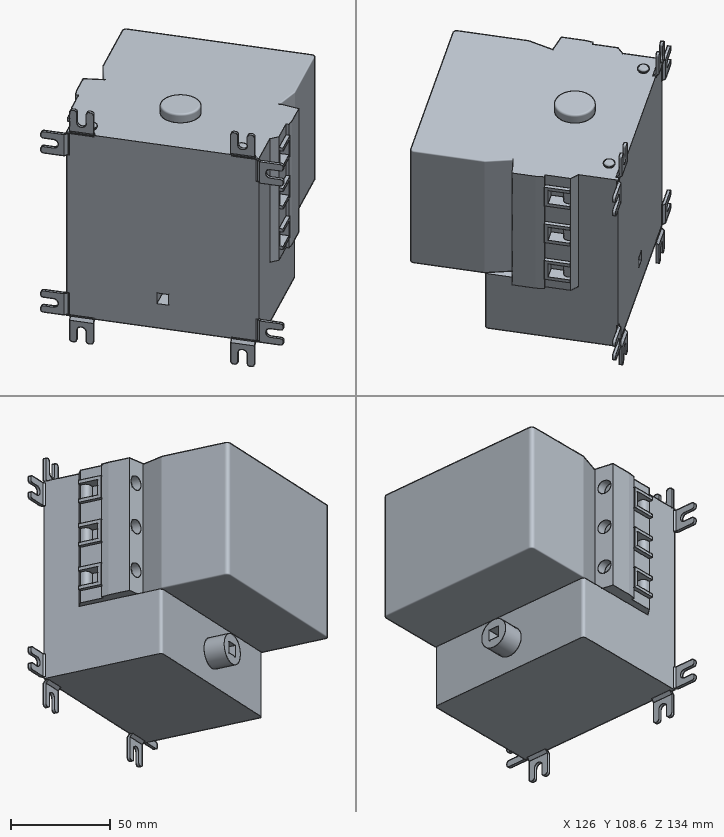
import cadquery as cq


half_width = 50.0
housing_height = 106.4
block_bottom = 34.8
block_height = housing_height - block_bottom
base_depth = 68.3
base_rear_round = 1.7

rear_depth = 107.0
waist_half_width = 45.7
waist_depth = 55.0
hood_corner_round = 2.1
hood_rim_round = 0.7

shoulder_half_width = 56.0
shoulder_rear = 53.1
shoulder_slope_start = 41.0
shoulder_slope_inset = 0.5
terminal_rear = 36.6
terminal_front = 23.5
terminal_seat = 53.9
shoulder_front = 20.2

terminal_count = 3
terminal_pitch = 23.5
terminal_top_z = 94.2
frame_height = 11.9
frame_opening_height = 8.3
frame_rear_wall = 2.0
pocket_depth = 4.8
pocket_lip_round = 2.7
pocket_lip = 1.5

access_diameter = 7.5
access_depth = 5.4
access_half_spacing = 51.0

knob_diameter = 20.5
knob_height = 4.8
knob_depth = 33.5
knob_round = 1.1
screw_half_spacing = 39.0
screw_depth = 7.1
screw_neck_diameter = 5.1
screw_head_diameter = 5.9
screw_height = 2.1
screw_neck_height = 0.8
screw_head_round = 1.1

shaft_diameter = 16.1
shaft_length = 11.7
shaft_height = 17.2
bore_side = 6.2

tab_width = 12.3
tab_thickness = 1.6
tab_length = 12.2
tab_bend = 1.6
tab_root = 0.7
tab_toe = 0.3
tab_slot_width = 5.0
tab_slot_length = 9.1
tab_tip_round = 1.5
top_tab_reach = 13.8
side_tab_reach = 13.0
tab_half_spacing = 41.8
side_tab_inset = 7.1


def box(x_range, y_range, z_range):
    """Axis-aligned box between pairs of limits."""
    size = [high - low for low, high in (x_range, y_range, z_range)]
    corner = (x_range[0], y_range[0], z_range[0])
    return cq.Workplane("XY").box(*size, centered=False).translate(corner)


def both_sides(shape):
    """The shape together with its mirror image across the YZ plane."""
    return shape.union(shape.mirror("YZ"))


def make_base():
    """Lower box of full depth with the shallow front body standing on it."""
    base = box((-half_width, half_width), (0, base_depth), (0, block_bottom))
    base = base.edges("|Z and >Y").fillet(base_rear_round)
    front = box((-half_width, half_width), (0, shoulder_front), (block_bottom, housing_height))
    return base.union(front)


def make_hood():
    """Rear cover that widens from the waist and has rounded outer edges."""
    right_outline = [
        (waist_half_width, waist_depth),
        (half_width, base_depth),
        (half_width, rear_depth),
    ]
    left_outline = [(-x, y) for x, y in reversed(right_outline)]
    hood = (
        cq.Workplane("XY", origin=(0, 0, block_bottom))
        .polyline(right_outline + left_outline)
        .close()
        .extrude(block_height)
    )
    hood = hood.edges("|Z and >Y").fillet(hood_corner_round)
    rim = hood.faces("<Z or >Z").edges("not <Y")
    return rim.fillet(hood_rim_round)


def make_shoulders():
    """Side steps that hold the terminals, with a recessed seat for the frames."""
    right_outline = [
        (half_width, shoulder_front),
        (terminal_seat, terminal_front),
        (terminal_seat, terminal_rear),
        (shoulder_half_width - shoulder_slope_inset, terminal_rear),
        (shoulder_half_width, shoulder_slope_start),
        (shoulder_half_width, shoulder_rear),
        (waist_half_width, waist_depth),
    ]
    left_outline = [(-x, y) for x, y in reversed(right_outline)]
    return (
        cq.Workplane("XY", origin=(0, 0, block_bottom))
        .polyline(right_outline + left_outline)
        .close()
        .extrude(block_height)
    )


def make_frame(center_z):
    """Raised block that carries one wire opening on the +X side."""
    z_range = (center_z - frame_height / 2, center_z + frame_height / 2)
    return box((terminal_seat, shoulder_half_width), (terminal_front, terminal_rear), z_range)


def make_pocket(center_z):
    """Wire opening: open to the front, then deeper behind a rounded lip."""
    opening_rear = terminal_rear - frame_rear_wall
    lip_end = terminal_front + pocket_lip
    return (
        cq.Workplane("XY", origin=(0, 0, center_z - frame_opening_height / 2))
        .moveTo(shoulder_half_width, terminal_front)
        .lineTo(terminal_seat, terminal_front)
        .lineTo(terminal_seat, lip_end)
        .radiusArc((terminal_seat - pocket_lip_round, lip_end + pocket_lip_round), -pocket_lip_round)
        .lineTo(terminal_seat - pocket_depth, lip_end + pocket_lip_round)
        .lineTo(terminal_seat - pocket_depth, opening_rear)
        .lineTo(shoulder_half_width, opening_rear)
        .close()
        .extrude(frame_opening_height)
    )


def make_access_hole(center_z):
    """Blind hole cutter that enters a shoulder from the rear."""
    hole = cq.Workplane("XZ", origin=(access_half_spacing, waist_depth, center_z))
    return hole.circle(access_diameter / 2).extrude(access_depth)


def make_knob():
    knob = cq.Workplane("XY", origin=(0, knob_depth, housing_height)).circle(knob_diameter / 2)
    return knob.extrude(knob_height).faces(">Z").edges().fillet(knob_round)


def make_screw(x):
    neck = cq.Workplane("XY", origin=(x, screw_depth, housing_height)).circle(screw_neck_diameter / 2)
    neck = neck.extrude(screw_neck_height)
    head = neck.faces(">Z").workplane().circle(screw_head_diameter / 2)
    head = head.extrude(screw_height - screw_neck_height, combine=False)
    return neck.union(head.faces(">Z").edges().fillet(screw_head_round))


def make_tab():
    """Slotted tab pointing to +Z, with its tip at Z = 0 and its bent root running to +Y."""
    bend_z = -tab_length
    tab = (
        cq.Workplane("YZ")
        .polyline([
            (-tab_thickness, 0),
            (0, 0),
            (0, bend_z),
            (tab_bend, bend_z - tab_bend),
            (tab_bend, bend_z - tab_bend - tab_root),
            (-tab_toe, bend_z - tab_bend - tab_root),
            (-tab_toe, bend_z - tab_bend),
            (-tab_thickness, bend_z),
        ])
        .close()
        .extrude(tab_width / 2, both=True)
    )
    slot_center = tab_slot_width / 2 - tab_slot_length
    slot = (
        cq.Workplane("XZ")
        .moveTo(-tab_slot_width / 2, 0)
        .lineTo(-tab_slot_width / 2, slot_center)
        .threePointArc((0, -tab_slot_length), (tab_slot_width / 2, slot_center))
        .lineTo(tab_slot_width / 2, 0)
        .close()
        .extrude(tab_thickness)
    )
    tab = tab.cut(slot)
    return tab.faces(">Z").edges("|Y").fillet(tab_tip_round)


result = make_base().union(make_hood()).union(make_shoulders())

for index in range(terminal_count):
    center_z = terminal_top_z - index * terminal_pitch
    result = result.union(both_sides(make_frame(center_z)))
    result = result.cut(both_sides(make_pocket(center_z)))
    result = result.cut(both_sides(make_access_hole(center_z)))

result = result.union(make_knob())
result = result.union(both_sides(make_screw(screw_half_spacing)))
shaft = cq.Workplane("XZ", origin=(0, base_depth, shaft_height)).circle(shaft_diameter / 2)
shaft = shaft.extrude(-shaft_length)
result = result.union(shaft)
bore_widths = (-bore_side / 2, bore_side / 2)
bore_heights = (shaft_height - bore_side / 2, shaft_height + bore_side / 2)
result = result.cut(box(bore_widths, (0, rear_depth), bore_heights))

top_tab = make_tab().translate((tab_half_spacing, 0, housing_height / 2 + top_tab_reach))
side_tab = make_tab().translate((0, 0, half_width + side_tab_reach)).rotate((0, 0, 0), (0, 1, 0), 90)
side_tab = side_tab.translate((0, 0, housing_height / 2 - side_tab_inset))
upper_tabs = both_sides(top_tab.union(side_tab))
lower_tabs = upper_tabs.mirror("XY")
for tabs in (upper_tabs, lower_tabs):
    result = result.union(tabs.translate((0, 0, housing_height / 2)))